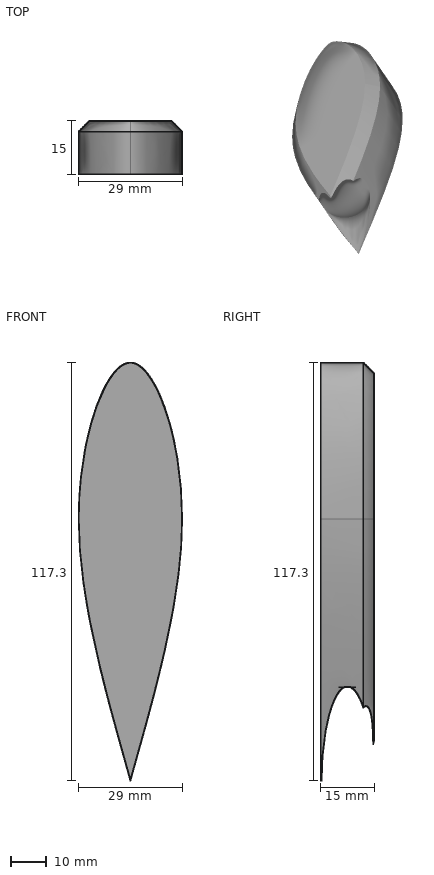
import cadquery as cq

length = 117.3
half_width = 14.5
thickness = 15.0
widest_height = 73.4
back_chamfer = 3.0

socket_diameter = 14.4
socket_top = 26.3

lower_controls = [(6.3, 22.9), (half_width, 50.0)]
upper_controls = [(half_width, 96.9), (6.8, length)]


def mirrored(points):
    """The same points on the -X side, in reverse order."""
    return [(-x, z) for x, z in reversed(points)]


def blade_outline():
    """Symmetric leaf outline: two flanks rise from the point and meet in a rounded crown."""
    tip = (0, 0)
    crown = (0, length)
    right_widest = (half_width, widest_height)
    left_widest = (-half_width, widest_height)
    return (
        cq.Workplane("XZ")
        .bezier([tip, *lower_controls, right_widest])
        .bezier([right_widest, *upper_controls, crown])
        .bezier([crown, *mirrored(upper_controls), left_widest])
        .bezier([left_widest, *mirrored(lower_controls), tip])
        .wire()
    )


blade = blade_outline().extrude(-thickness)
blade = blade.faces(">Y").chamfer(back_chamfer)

socket = (
    cq.Workplane("XY")
    .center(0, thickness / 2)
    .circle(socket_diameter / 2)
    .extrude(socket_top)
)

result = blade.cut(socket)